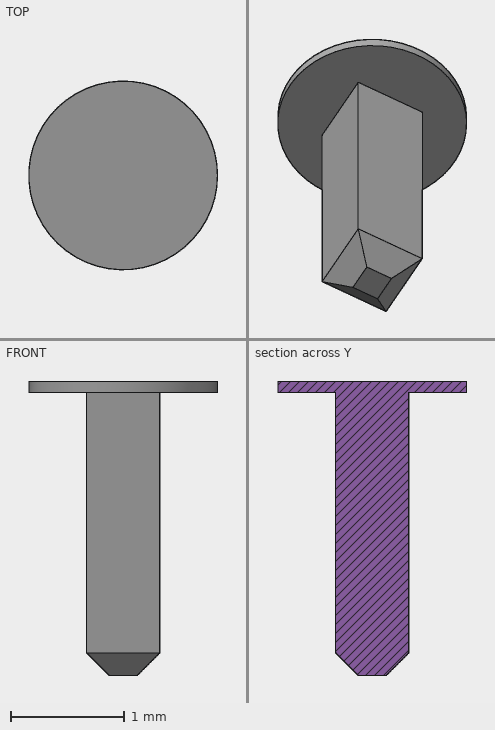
import cadquery as cq

overall_height = 2.6
head_diameter = 1.67
head_thickness = 0.1
shank_width = 0.65
tip_chamfer = 0.2

shank_length = overall_height - head_thickness


def make_head():
    """Thin round disc whose underside lies on Z = 0."""
    return cq.Workplane("XY").circle(head_diameter / 2).extrude(head_thickness)


def make_shank():
    """Square post hanging below the head, chamfered at its lower end into a flat-pointed tip."""
    post = cq.Workplane("XY").rect(shank_width, shank_width).extrude(-shank_length)
    return post.faces("<Z").chamfer(tip_chamfer)


result = make_head().union(make_shank())